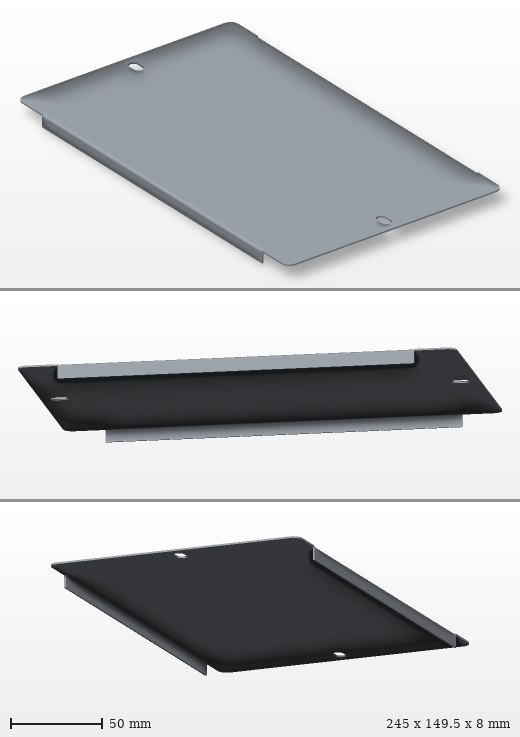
import cadquery as cq

length = 245.0
width = 149.5
height = 8.0
thickness = 1.0
corner_radius = 5.5

flange_length = 199.0
bend_radius = 1.7
inner_bend_radius = bend_radius - thickness

slot_spacing = 224.0
slot_length = 10.5
slot_width = 6.1


def flat_sheet():
    """Flat sheet with rounded corners, its top face at Z = 0."""
    return (
        cq.Workplane("XY")
        .rect(length, width)
        .extrude(-thickness)
        .edges("|Z")
        .fillet(corner_radius)
    )


def folded_channel():
    """Middle stretch of the sheet, with both flanges and their rounded bends."""
    outside = (
        cq.Workplane("XY")
        .box(flange_length, width, height, centered=(True, True, False))
        .translate((0, 0, -height))
        .edges("|X and >Z")
        .fillet(bend_radius)
    )
    inside = (
        cq.Workplane("XY")
        .box(flange_length, width - 2 * thickness, height - thickness, centered=(True, True, False))
        .translate((0, 0, -height))
        .edges("|X and >Z")
        .fillet(inner_bend_radius)
    )
    return outside.cut(inside)


def flange_zone():
    """Block covering the stretch of sheet that the folded channel replaces."""
    return cq.Workplane("XY").box(flange_length, width, 2 * height)


def mounting_slots():
    """Cutters for the two slots, running along X through the sheet."""
    return (
        cq.Workplane("XY")
        .pushPoints([(-slot_spacing / 2, 0), (slot_spacing / 2, 0)])
        .slot2D(slot_length, slot_width)
        .extrude(-height)
    )


result = flat_sheet().cut(flange_zone()).union(folded_channel()).cut(mounting_slots())